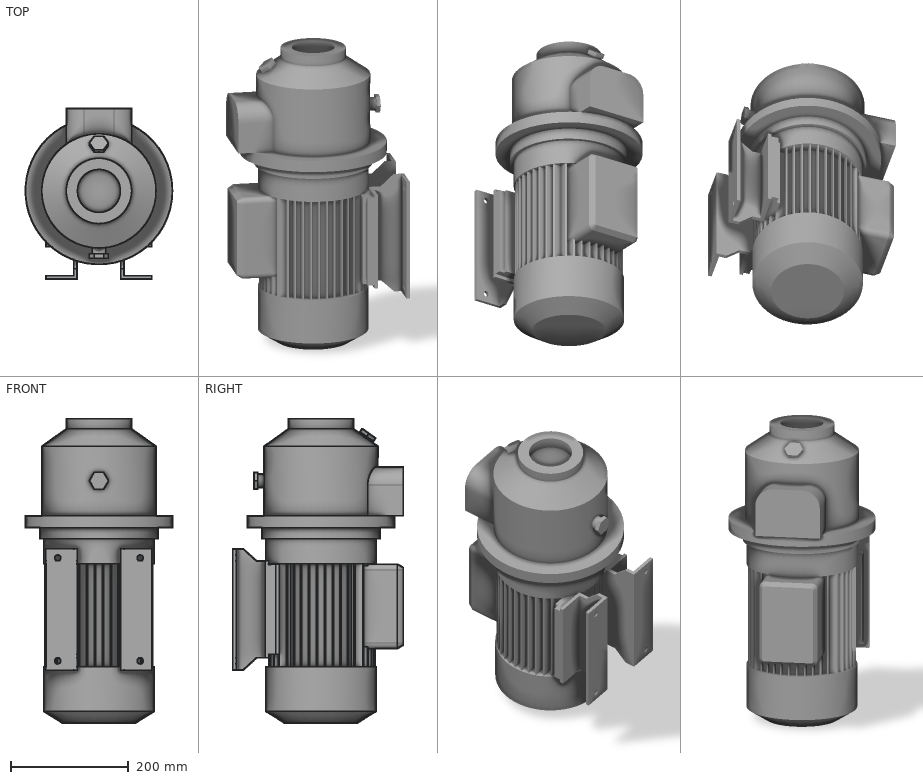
import cadquery as cq
import math

motor_radius = 94
cover_chamfer_height = 20
cover_bottom_radius = 62
fins_bottom_z = 96
fins_top_z = 270.5
collar_radius = 100.5
collar_bottom_z = 313
flange_radius = 125
flange_thickness = 20
flange_top_z = 352
flange_bottom_z = flange_top_z - flange_thickness

core_radius = 78
fin_tip_radius = 92
fin_thickness = 2.5
fins_per_sector = 10
fin_pitch_angle = 360 / 42
fins_height = fins_top_z - fins_bottom_z

box_width = 100
box_end_y = 140
box_taper_depth = 10
box_taper_inset = 6
box_fillet = 9.5
box_bottom_z = 126.5
box_top_z = fins_top_z - 0.5
box_height = box_top_z - box_bottom_z

foot_centre_z = 193
foot_inner_x = 37
foot_outer_x = 90
foot_base_y = -150
foot_height = 206
foot_sheet = 6
foot_end_depth = 18
foot_neck_y = -109.5
plate_outer_y = -95
plate_inner_y = plate_outer_y + foot_sheet
plate_height = 165
pad_height = 153
pad_back_y = -77
riser_back_y = -71
riser_outer_x = 80
foot_hole_diameter = 10
foot_hole_x = 70
foot_hole_spacing_z = 175

pump_radius = 97
pump_top_z = 517
shoulder_z = 470
neck_bottom_z = 499.5
neck_radius = 55.5
bore_radius = 36.5
bore_depth = 20
outlet_width = 2 * neck_radius
outlet_height = 83
outlet_fillet = 30
outlet_end_y = 140

plug_across_corners = 32.5
plug_head_thickness = 7
plug_shank_radius = 11.5
drain_plug_z = 411.5
drain_plug_standout = 17
vent_plug_standout = 9
plug_root_depth = 8


def cylinder(radius, bottom_z, top_z):
    return cq.Workplane("XY").workplane(offset=bottom_z).circle(radius).extrude(top_z - bottom_z)


def block(x_range, y_range, z_centre, height):
    """Rectangular block between two X and two Y limits, centred on z_centre."""
    width = x_range[1] - x_range[0]
    depth = y_range[1] - y_range[0]
    centre = (sum(x_range) / 2, sum(y_range) / 2, z_centre)
    return cq.Workplane("XY").box(width, depth, height).translate(centre)


def motor_frame():
    """Round motor parts with the slimmer core between the end bells."""
    profile = [
        (0, 0),
        (cover_bottom_radius, 0),
        (motor_radius, cover_chamfer_height),
        (motor_radius, fins_bottom_z),
        (core_radius, fins_bottom_z),
        (core_radius, fins_top_z),
        (motor_radius, fins_top_z),
        (motor_radius, collar_bottom_z),
        (collar_radius, collar_bottom_z),
        (collar_radius, flange_bottom_z),
        (flange_radius, flange_bottom_z),
        (flange_radius, flange_top_z),
        (0, flange_top_z),
    ]
    return cq.Workplane("XZ").polyline(profile).close().revolve(360, (0, 0, 0), (0, 1, 0))


def cooling_fins():
    """Plates along X and along Y, spaced evenly by angle where they meet the tip circle."""
    angles = [math.radians((i + 0.5 - fins_per_sector / 2) * fin_pitch_angle) for i in range(fins_per_sector)]
    offsets = [fin_tip_radius * math.sin(angle) for angle in angles]
    length = 2 * fin_tip_radius
    plates_along_x = (
        cq.Workplane("XY", origin=(0, 0, fins_bottom_z))
        .pushPoints([(0, offset) for offset in offsets])
        .rect(length, fin_thickness)
        .extrude(fins_height)
    )
    plates = plates_along_x.union(plates_along_x.rotate((0, 0, 0), (0, 0, 1), 90))
    envelope = cylinder(fin_tip_radius, fins_bottom_z, fins_top_z)
    flat = block((-fin_tip_radius, fin_tip_radius), (plate_inner_y, fin_tip_radius),
                 fins_bottom_z + fins_height / 2, fins_height)
    return plates.intersect(envelope).intersect(flat)


def terminal_box():
    """Box with rounded long edges and a tapered lid."""
    straight_end_y = box_end_y - box_taper_depth
    centre_z = box_bottom_z + box_height / 2
    body = block((-box_width / 2, box_width / 2), (0, straight_end_y), centre_z, box_height)
    body = body.edges("|Y").fillet(box_fillet)
    taper_angle = math.degrees(math.atan(box_taper_inset / box_taper_depth))
    lid = body.faces(">Y").wires().toPending().workplane().extrude(
        box_taper_depth, combine=False, taper=taper_angle)
    return body.union(lid)


def foot():
    """Foot at +X: base flange, web with sloped ends, and a plate on a stepped pad."""
    base = block((foot_inner_x, foot_outer_x), (foot_base_y, foot_base_y + foot_sheet),
                 foot_centre_z, foot_height)
    half_foot = foot_height / 2
    half_plate = plate_height / 2
    web_outline = [
        (foot_base_y, -half_foot),
        (foot_base_y + foot_end_depth, -half_foot),
        (foot_neck_y, -half_plate),
        (plate_inner_y, -half_plate),
        (plate_inner_y, half_plate),
        (foot_neck_y, half_plate),
        (foot_base_y + foot_end_depth, half_foot),
        (foot_base_y, half_foot),
    ]
    web = cq.Workplane("YZ", origin=(foot_inner_x, 0, foot_centre_z))
    web = web.polyline(web_outline).close().extrude(foot_sheet)
    plate = block((foot_inner_x, foot_outer_x), (plate_outer_y, plate_inner_y),
                  foot_centre_z, plate_height)
    pad = block((foot_inner_x, foot_outer_x), (plate_inner_y, pad_back_y), foot_centre_z, pad_height)
    riser = block((foot_inner_x, riser_outer_x), (pad_back_y, riser_back_y), foot_centre_z, pad_height)
    holes = (
        cq.Workplane("XZ", origin=(foot_hole_x, foot_base_y + foot_sheet, foot_centre_z))
        .rarray(1, foot_hole_spacing_z, 1, 2)
        .circle(foot_hole_diameter / 2)
        .extrude(foot_sheet)
    )
    return base.cut(holes).union(web).union(plate).union(pad).union(riser)


def build_motor():
    right_foot = foot()
    left_foot = right_foot.mirror("YZ")
    motor = motor_frame().union(cooling_fins()).union(terminal_box())
    return motor.union(right_foot).union(left_foot)


def pump_casing():
    """Round casing with a conical shoulder and the suction neck on top."""
    profile = [
        (0, flange_top_z),
        (pump_radius, flange_top_z),
        (pump_radius, shoulder_z),
        (neck_radius, neck_bottom_z),
        (neck_radius, pump_top_z),
        (bore_radius, pump_top_z),
        (bore_radius, pump_top_z - bore_depth),
        (0, pump_top_z - bore_depth),
    ]
    return cq.Workplane("XZ").polyline(profile).close().revolve(360, (0, 0, 0), (0, 1, 0))


def outlet():
    """Outlet block toward +Y with two rounded upper edges."""
    centre_z = flange_top_z + outlet_height / 2
    body = block((-outlet_width / 2, outlet_width / 2), (0, outlet_end_y), centre_z, outlet_height)
    return body.edges("|Y and >Z").fillet(outlet_fillet)


def screw_plug(surface_point, outward, standout):
    """Hexagon plug whose head ends at the given height above a surface point."""
    plane = cq.Plane(origin=surface_point, xDir=(1, 0, 0), normal=outward)
    shank = cq.Workplane(plane).workplane(offset=-plug_root_depth)
    shank = shank.circle(plug_shank_radius).extrude(plug_root_depth + standout - plug_head_thickness)
    head = cq.Workplane(plane).workplane(offset=standout - plug_head_thickness)
    head = head.polygon(6, plug_across_corners).extrude(plug_head_thickness)
    return shank.union(head)


def build_pump():
    drain_plug = screw_plug((0, -pump_radius, drain_plug_z), (0, -1, 0), drain_plug_standout)
    shoulder_middle = (0, (pump_radius + neck_radius) / 2, (shoulder_z + neck_bottom_z) / 2)
    shoulder_normal = (0, neck_bottom_z - shoulder_z, pump_radius - neck_radius)
    vent_plug = screw_plug(shoulder_middle, shoulder_normal, vent_plug_standout)
    return pump_casing().union(outlet()).union(drain_plug).union(vent_plug)


motor = build_motor()
pump = build_pump()

result = cq.Compound.makeCompound([motor.val(), pump.val()])